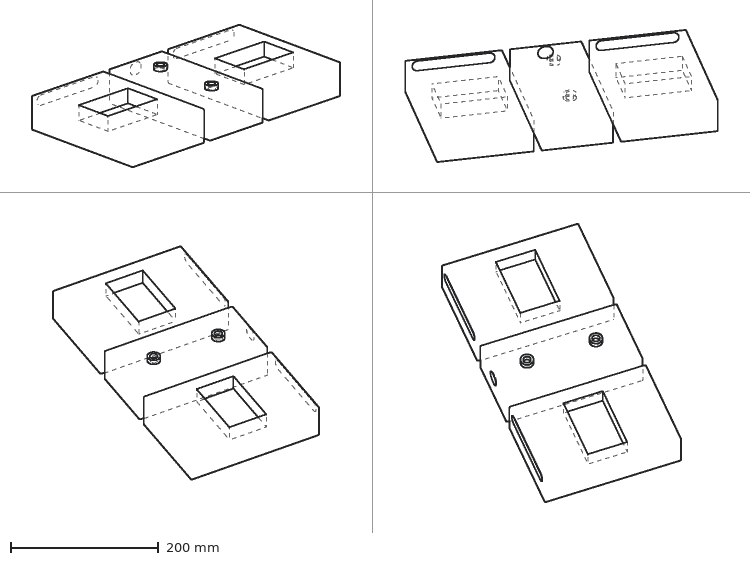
import cadquery as cq

block_width = 198.0
block_height = 50.0
outer_block_length = 135.0
center_block_length = 100.0
block_gap = 10.0
edge_radius = 2.0

pocket_width = 57.0
pocket_length = 92.0
pocket_depth = 22.0

groove_bar_diameter = 30.0
outer_groove_depth = 2.0
outer_groove_straight = 100.0
outer_groove_drop = 11.0
center_groove_depth = 3.0
center_groove_straight = 3.0
center_groove_drop = 12.0

boss_diameter = 18.0
boss_height = 7.0
boss_bore_diameter = 10.5
boss_bore_depth = boss_height
boss_spacing = 100.0

outer_block_y = center_block_length / 2 + block_gap + outer_block_length / 2


def plain_block(length):
    """Block centered on the Z axis, standing on Z = 0, with all edges rounded."""
    block = cq.Workplane("XY").box(block_width, length, block_height, centered=(True, True, False))
    return block.edges().fillet(edge_radius)


def groove_cutter(depth, straight, drop):
    """Ball-ended bar along Y, 'drop' below the block top, sunk 'depth' into the -X face."""
    radius = groove_bar_diameter / 2
    cutter = cq.Workplane("XZ").circle(radius).extrude(straight / 2, both=True)
    for end_y in (-straight / 2, straight / 2):
        cutter = cutter.union(cq.Workplane("XY").sphere(radius).translate((0, end_y, 0)))
    return cutter.translate((depth - radius - block_width / 2, 0, block_height - drop))


def make_outer_block(center_y):
    """Outer block with a top pocket and a long groove."""
    block = plain_block(outer_block_length)
    pocket = (
        cq.Workplane("XY")
        .workplane(offset=block_height - pocket_depth)
        .rect(pocket_width, pocket_length)
        .extrude(pocket_depth)
    )
    groove = groove_cutter(outer_groove_depth, outer_groove_straight, outer_groove_drop)
    return block.cut(pocket).cut(groove).translate((0, center_y, 0))


def make_center_block():
    """Center block with two hollow bosses and a short groove."""
    boss_places = [(-boss_spacing / 2, 0), (boss_spacing / 2, 0)]
    bosses = (
        cq.Workplane("XY")
        .workplane(offset=block_height)
        .pushPoints(boss_places)
        .circle(boss_diameter / 2)
        .extrude(boss_height)
    )
    bores = (
        cq.Workplane("XY")
        .workplane(offset=block_height + boss_height)
        .pushPoints(boss_places)
        .circle(boss_bore_diameter / 2)
        .extrude(-boss_bore_depth)
    )
    groove = groove_cutter(center_groove_depth, center_groove_straight, center_groove_drop)
    return plain_block(center_block_length).union(bosses).cut(bores).cut(groove)


outer_blocks = [make_outer_block(center_y) for center_y in (-outer_block_y, outer_block_y)]
center_block = make_center_block()

result = cq.Compound.makeCompound([center_block.val(), *[block.val() for block in outer_blocks]])